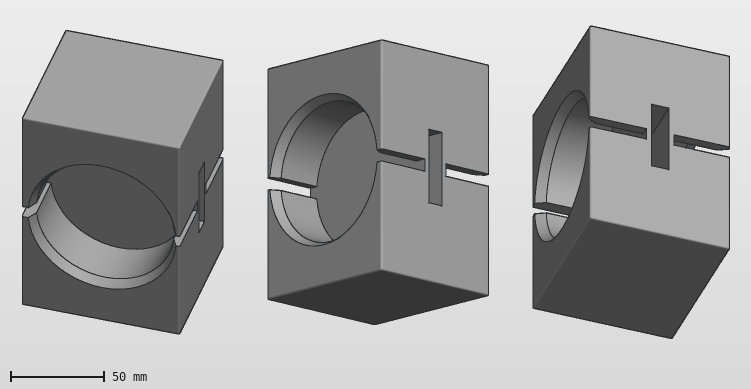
import cadquery as cq

width = 88.0
depth = 79.5
height = 127.0
edge_radius = 1.0

web_thickness = 15.7
recess_depth = (depth - web_thickness) / 2
recess_diameter = 76.7
recess_mouth_diameter = 82.5
mouth_depth = 5.5
recess_offset_x = 0.8

split_height = 6.7

passage_width = 9.9
passage_height = 40.4


def make_block():
    """Centred block with every outer edge rounded."""
    return cq.Workplane("XY").box(width, depth, height).edges().fillet(edge_radius)


def make_recess():
    """Recess cutter entering from the -Y face: a bore with a conical mouth."""
    mouth_y = -depth / 2
    floor_y = mouth_y + recess_depth
    bore_radius = recess_diameter / 2
    profile = [
        (0, mouth_y),
        (recess_mouth_diameter / 2, mouth_y),
        (bore_radius, mouth_y + mouth_depth),
        (bore_radius, floor_y),
        (0, floor_y),
    ]
    bore = cq.Workplane("XY").polyline(profile).close().revolve(360, (0, 0), (0, 1))
    return bore.translate((recess_offset_x, 0, 0))


def make_split():
    """Split slot cutter running the full width, entering from the -Y face."""
    slot = cq.Workplane("XY").box(width, recess_depth, split_height)
    return slot.translate((0, (recess_depth - depth) / 2, 0))


def make_passage():
    """Rectangular passage cutter along X."""
    return cq.Workplane("XY").box(width, passage_width, passage_height)


front_cut = make_recess().union(make_split())
back_cut = front_cut.mirror("XZ")

result = make_block().cut(front_cut).cut(back_cut).cut(make_passage())